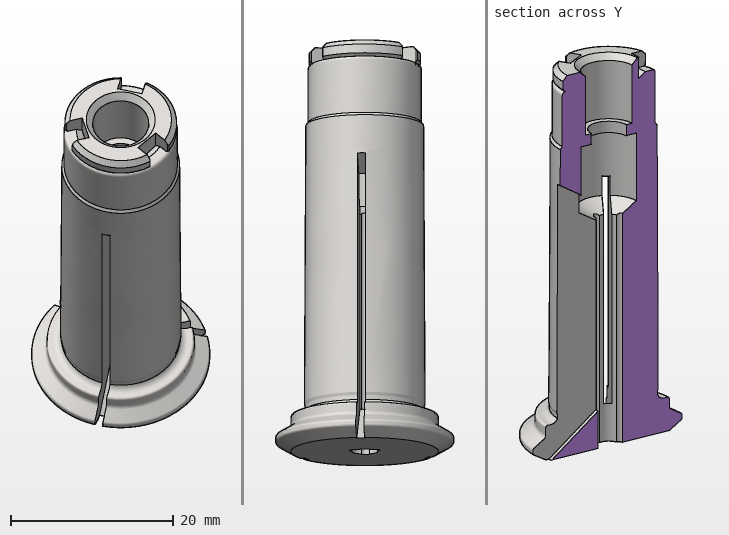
import cadquery as cq
import math

HEIGHT = 50.5
RIM_RADIUS = 11.0
SECTOR_COUNT = 3
SECTOR_ANGLE = 360 / SECTOR_COUNT
CUT_MARGIN = 1.0

FLANGE_RADIUS = 9.1
FLANGE_BASE_Z = 2.98
FLANGE_TOP_Z = 4.53
FLANGE_BASE_FILLET = 0.5
FLANGE_ROUND = 0.3
RIM_ROUND = 0.35
RIM_LOW_Z = 1.12
RIM_HIGH_Z = 1.85

NECK_RADIUS = 7.35
NECK_LOW_Z = 5.12
NECK_HIGH_Z = 5.65
NECK_FOOT_RADIUS = 8.3
NECK_FILLET_WIDTH = NECK_FOOT_RADIUS - NECK_RADIUS
NECK_FILLET_HEIGHT = NECK_LOW_Z - FLANGE_TOP_Z
NECK_FILLET = (NECK_FILLET_WIDTH**2 + NECK_FILLET_HEIGHT**2) / (2 * NECK_FILLET_HEIGHT)
SLEEVE_BASE_Z = 6.02

SLEEVE_BASE_RADIUS = 7.45
SLEEVE_TOP_RADIUS = 7.28
SLEEVE_TOP_Z = 40.9
SHOULDER_TOP_Z = 41.25
BARREL_RADIUS = 7.0
BARREL_TOP_Z = 48.4
BARREL_ROUND = 0.45

HEAD_RADIUS = 6.9
HEAD_BASE_Z = 48.75
HEAD_CHAMFER = 0.65

MOUTH_RADIUS = 8.5 / 2
UPPER_BORE_RADIUS = 6.92 / 2
UPPER_BORE_FLOOR_Z = 42.0
LEDGE_RADIUS = 5.2 / 2
LEDGE_BASE_Z = 40.5
CHAMBER_RADIUS = 8.2 / 2
CHAMBER_FLOOR_Z = 31.6
CHAMBER_CONE_SLOPE = math.tan(math.radians(31))
CORE_HOLE_RADIUS = 1.6

SLOT_WIDTH = 1.0
SLOT_TOP_Z = 36.1
SLOT_ROOF_SLOPE = math.tan(math.radians(32))
SLOT_FLOOR_START_RADIUS = 8.6
SLOT_FLOOR_END_Z = 5.0
SLOT_REACH = 2.05

NOTCH_WIDTH = 3.1
NOTCH_CORNER_START = 6.54
NOTCH_INNER_RADIUS = 4.5
NOTCH_FLOOR_Z = 48.4
NOTCH_PIT_RADIUS = 10.92 / 2
NOTCH_PIT_SLOPE = math.tan(math.radians(35))


def make_outer_body():
    head_top_radius = HEAD_RADIUS - HEAD_CHAMFER
    profile = (
        cq.Workplane("XZ")
        .moveTo(0, 0)
        .lineTo(FLANGE_RADIUS, 0)
        .lineTo(RIM_RADIUS, RIM_LOW_Z)
        .lineTo(RIM_RADIUS, RIM_HIGH_Z)
        .lineTo(FLANGE_RADIUS, FLANGE_BASE_Z)
        .lineTo(FLANGE_RADIUS, FLANGE_TOP_Z - FLANGE_ROUND)
        .radiusArc((FLANGE_RADIUS - FLANGE_ROUND, FLANGE_TOP_Z), -FLANGE_ROUND)
        .lineTo(NECK_FOOT_RADIUS, FLANGE_TOP_Z)
        .radiusArc((NECK_RADIUS, NECK_LOW_Z), NECK_FILLET)
        .lineTo(NECK_RADIUS, NECK_HIGH_Z)
        .lineTo(SLEEVE_BASE_RADIUS, SLEEVE_BASE_Z)
        .lineTo(SLEEVE_TOP_RADIUS, SLEEVE_TOP_Z)
        .lineTo(BARREL_RADIUS, SHOULDER_TOP_Z)
        .lineTo(BARREL_RADIUS, BARREL_TOP_Z - BARREL_ROUND)
        .radiusArc((BARREL_RADIUS - BARREL_ROUND, BARREL_TOP_Z), -BARREL_ROUND)
        .lineTo(HEAD_RADIUS, HEAD_BASE_Z)
        .lineTo(HEAD_RADIUS, HEIGHT - HEAD_CHAMFER)
        .lineTo(head_top_radius, HEIGHT)
        .lineTo(0, HEIGHT)
        .close()
    )
    body = profile.revolve(360, (0, 0, 0), (0, 1, 0))
    rim_edges = cq.selectors.RadiusNthSelector(-1)
    body = body.edges("%CIRCLE").edges(rim_edges).fillet(RIM_ROUND)
    flange_base = cq.selectors.BoxSelector(
        (-RIM_RADIUS, -RIM_RADIUS, RIM_HIGH_Z + RIM_ROUND),
        (RIM_RADIUS, RIM_RADIUS, (FLANGE_BASE_Z + FLANGE_TOP_Z) / 2),
    )
    return body.edges("%CIRCLE").edges(flange_base).fillet(FLANGE_BASE_FILLET)


def make_bores():
    mouth_depth = MOUTH_RADIUS - UPPER_BORE_RADIUS
    cone_height = (CHAMBER_RADIUS - CORE_HOLE_RADIUS) * CHAMBER_CONE_SLOPE
    profile = (
        cq.Workplane("XZ")
        .moveTo(0, 0)
        .lineTo(CORE_HOLE_RADIUS, 0)
        .lineTo(CORE_HOLE_RADIUS, CHAMBER_FLOOR_Z - cone_height)
        .lineTo(CHAMBER_RADIUS, CHAMBER_FLOOR_Z)
        .lineTo(CHAMBER_RADIUS, LEDGE_BASE_Z)
        .lineTo(LEDGE_RADIUS, LEDGE_BASE_Z)
        .lineTo(LEDGE_RADIUS, UPPER_BORE_FLOOR_Z)
        .lineTo(UPPER_BORE_RADIUS, UPPER_BORE_FLOOR_Z)
        .lineTo(UPPER_BORE_RADIUS, HEIGHT - mouth_depth)
        .lineTo(MOUTH_RADIUS, HEIGHT)
        .lineTo(0, HEIGHT)
        .close()
    )
    return profile.revolve(360, (0, 0, 0), (0, 1, 0))


def make_slot():
    """Slot on the -X side, crossing the core hole to a round end on the +X side."""
    floor_slope = SLOT_FLOOR_END_Z / (SLOT_FLOOR_START_RADIUS - CORE_HOLE_RADIUS)
    outer_radius = RIM_RADIUS + CUT_MARGIN
    roof_end_z = SLOT_TOP_Z - (SLEEVE_TOP_RADIUS - CHAMBER_RADIUS) * SLOT_ROOF_SLOPE
    roof_start_z = roof_end_z + (outer_radius - CHAMBER_RADIUS) * SLOT_ROOF_SLOPE
    outer_cut = (
        cq.Workplane("XZ")
        .moveTo(-outer_radius, 0)
        .lineTo(-SLOT_FLOOR_START_RADIUS, 0)
        .lineTo(0, SLOT_FLOOR_START_RADIUS * floor_slope)
        .lineTo(0, roof_end_z)
        .lineTo(-CHAMBER_RADIUS, roof_end_z)
        .lineTo(-outer_radius, roof_start_z)
        .close()
        .extrude(SLOT_WIDTH / 2, both=True)
    )
    round_center = SLOT_REACH - SLOT_WIDTH / 2
    far_groove = (
        cq.Workplane("XY")
        .moveTo(0, -SLOT_WIDTH / 2)
        .lineTo(round_center, -SLOT_WIDTH / 2)
        .threePointArc((SLOT_REACH, 0), (round_center, SLOT_WIDTH / 2))
        .lineTo(0, SLOT_WIDTH / 2)
        .close()
        .extrude(CHAMBER_FLOOR_Z)
    )
    return outer_cut.union(far_groove)


def make_notch():
    """Head notch on the +X side, with 45 degree outer corners and a floor that drops to a flat inner wall."""
    half_width = NOTCH_WIDTH / 2
    outer_radius = BARREL_RADIUS + CUT_MARGIN
    mouth_half_width = half_width + outer_radius - NOTCH_CORNER_START
    pit_depth = (NOTCH_PIT_RADIUS - NOTCH_INNER_RADIUS) * NOTCH_PIT_SLOPE
    pit_base_z = NOTCH_FLOOR_Z - pit_depth
    column = (
        cq.Workplane("XY")
        .workplane(offset=pit_base_z)
        .moveTo(NOTCH_INNER_RADIUS, -half_width)
        .lineTo(NOTCH_CORNER_START, -half_width)
        .lineTo(outer_radius, -mouth_half_width)
        .lineTo(outer_radius, mouth_half_width)
        .lineTo(NOTCH_CORNER_START, half_width)
        .lineTo(NOTCH_INNER_RADIUS, half_width)
        .close()
        .extrude(HEIGHT - pit_base_z)
    )
    envelope_radius = math.hypot(outer_radius, mouth_half_width) + CUT_MARGIN
    envelope = (
        cq.Workplane("XZ")
        .moveTo(0, pit_base_z)
        .lineTo(NOTCH_INNER_RADIUS, pit_base_z)
        .lineTo(NOTCH_PIT_RADIUS, NOTCH_FLOOR_Z)
        .lineTo(envelope_radius, NOTCH_FLOOR_Z)
        .lineTo(envelope_radius, HEIGHT)
        .lineTo(0, HEIGHT)
        .close()
        .revolve(360, (0, 0, 0), (0, 1, 0))
    )
    return column.intersect(envelope)


result = make_outer_body().cut(make_bores())
for sector in range(SECTOR_COUNT):
    angle = sector * SECTOR_ANGLE
    for cutter in (make_slot(), make_notch()):
        result = result.cut(cutter.rotate((0, 0, 0), (0, 0, 1), angle))